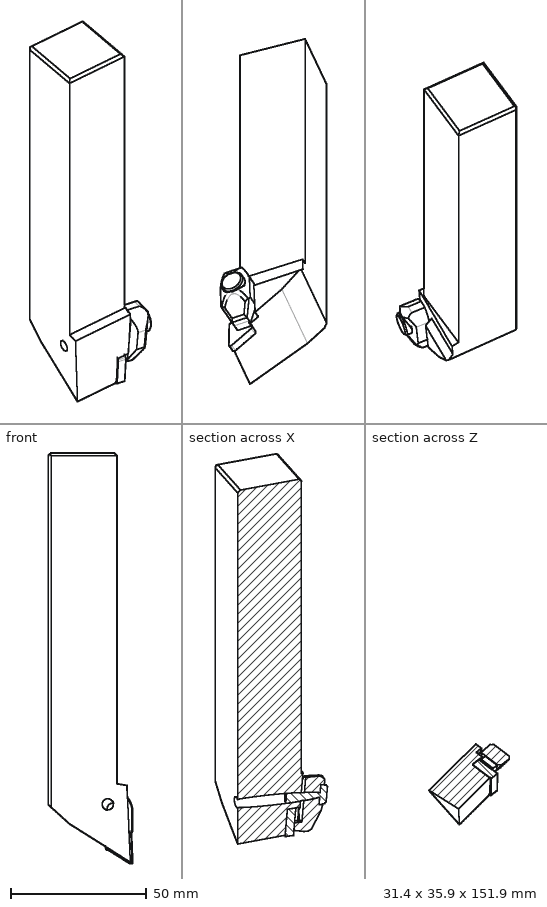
import cadquery as cq
import math

total_length = 151.9
shank_size = 25.5
edge_chamfer_x = 1.2
edge_chamfer_y = 1.0
end_chamfer = 1.0
shoulder_z = 29.6
right_shoulder_drop = 0.6
back_shoulder_drop = 1.7
head_width = 29.2
head_blank_depth = 33.4
tip_x = 30.4
tip_z = 0.6
bevel_x = 7.9
bevel_z = 14.7
bevel_start_z = 21.9

fall_x = 0.095
rise_z = 0.083
seat_x = 24.5
seat_y = 25.2
seat_z = 19.9
rib_height = 2.7
rib_foot = 4.3
clear = 60.8

insert_edge = 11.5
insert_angle = 55.0
insert_side_angle = 93.0
insert_thickness = 3.3
insert_top = -1.7
insert_bottom = insert_top - insert_thickness
insert_tip_u = 7.3
insert_tip_v = -20.8
insert_corner_radius = 0.8

clamp_left_u = -5.6
clamp_right_u = 6.2
clamp_gap = 1.0
clamp_top = 9.4
clamp_side_height = 6.4
clamp_belly_u = 3.8
clamp_overhang_height = 3.0
clamp_tail_v = 7.9
clamp_tail_start_v = -2.3
clamp_tail_left_u = -2.6
clamp_tail_right_u = 0.6
clamp_tail_height = 6.4
clamp_nose_v = -14.6
clamp_nose_height = 5.0
clamp_nose_bottom = 2.3
clamp_nose_chamfer = 0.9
clamp_toe_v = -13.7
clamp_nose_half_width = 3.0
clamp_foot_v = -10.3
clamp_foot_left_u = -2.3
clamp_shoulder_v = -7.3
clamp_flat_half_length = 4.5
clamp_back_middle = (6.8, 8.4)
clamp_tail_left_bend = (-4.9, 4.9)
clamp_tail_right_bend = (4.7, 4.5)
clamp_bay_left_u = -5.8

screw_diameter = 4.1
screw_head_diameter = 8.8
screw_head_bottom = 7.6
screw_head_top = 10.3
screw_head_chamfer = 0.6
screw_end = -6.1

seat_origin = cq.Vector(seat_x, seat_y, seat_z)
axis_w = cq.Vector(fall_x, 1, -rise_z).normalized()
axis_u = cq.Vector(1, -fall_x, 0).normalized()
axis_v = axis_u.cross(axis_w)


def facing_workplane(height):
    """Workplane parallel to the seat at a height above it; x = u, y = v, extrusion runs inward."""
    return cq.Workplane(cq.Plane(seat_origin + axis_w * height, axis_u, axis_w * -1))


def side_workplane():
    """Workplane through the screw axis; x = v, y = w."""
    return cq.Workplane(cq.Plane(seat_origin, axis_v, axis_u * -1))


def section_workplane():
    """Workplane across the clamp through the screw axis; x = u, y = w."""
    return cq.Workplane(cq.Plane(seat_origin, axis_u, axis_v))


def seat_prism(outline, bottom, top):
    """Prism on an outline of (u, v) points, between two heights above the seat."""
    return facing_workplane(top).polyline(outline).close().extrude(top - bottom)


def seat_disc(diameter, bottom, top):
    """Cylinder about the screw axis, between two heights above the seat."""
    return facing_workplane(top).circle(diameter / 2).extrude(top - bottom)


def rhombus(edge):
    """Rhombus of (u, v) points with the insert's tip and angles: tip, right, inner, left corner."""
    right_angle = math.radians(insert_side_angle)
    left_angle = math.radians(insert_side_angle + insert_angle)
    tip = cq.Vector(insert_tip_u, insert_tip_v)
    right_side = cq.Vector(math.cos(right_angle), math.sin(right_angle)) * edge
    left_side = cq.Vector(math.cos(left_angle), math.sin(left_angle)) * edge
    corners = [tip, tip + right_side, tip + right_side + left_side, tip + left_side]
    return [(corner.x, corner.y) for corner in corners]


def pocket_outline():
    """Insert pocket: the two inner sides of the insert, carried out past the head."""
    tip, right, inner, left = rhombus(insert_edge)
    outer_right = (2 * right[0] - inner[0], 2 * right[1] - inner[1])
    outer_left = (2 * left[0] - inner[0], 2 * left[1] - inner[1])
    beyond_tip = (2 * tip[0] - inner[0], 2 * tip[1] - inner[1])
    return [inner, outer_right, beyond_tip, outer_left]


def make_shank():
    height = total_length - shoulder_z
    shank = cq.Workplane("XY", origin=(0, 0, shoulder_z))
    shank = shank.box(shank_size, shank_size, height, centered=False)
    return shank.faces(">Z").chamfer(end_chamfer)


def make_head():
    """Head blank with the sloping shoulders at the right and at the back."""
    head = (
        cq.Workplane("XZ")
        .polyline(
            [
                (0, shoulder_z),
                (shank_size, shoulder_z),
                (head_width, shoulder_z - right_shoulder_drop),
                (tip_x, tip_z),
                (bevel_x, bevel_z),
                (0, bevel_start_z),
            ]
        )
        .close()
        .extrude(-head_blank_depth)
    )
    back_shoulder = (
        cq.Workplane("YZ")
        .polyline(
            [
                (shank_size, shoulder_z),
                (head_blank_depth, shoulder_z - back_shoulder_drop),
                (head_blank_depth, shoulder_z),
            ]
        )
        .close()
        .extrude(clear)
    )
    return head.cut(back_shoulder)


def make_back_cut():
    """Everything outside the tilted back of the head: flat seat, 45 degree slope, raised rib."""
    profile = [
        (clear, 0),
        (rib_foot, 0),
        (rib_foot - rib_height, rib_height),
        (-clear, rib_height),
        (-clear, clear),
        (clear, clear),
    ]
    return side_workplane().polyline(profile).close().extrude(clear, both=True)


def make_clamp_bay():
    """Cut through the rib, down to the seat, from the clamp to the right side of the head."""
    bay = [
        (clamp_bay_left_u, -clear),
        (clear, -clear),
        (clear, rib_foot),
        (clamp_bay_left_u, rib_foot),
    ]
    return seat_prism(bay, 0, clear)


def make_holder():
    head = make_head().cut(make_back_cut()).cut(make_clamp_bay())
    head = head.cut(seat_prism(pocket_outline(), insert_bottom, clear))
    holder = make_shank().union(head)

    bevel_outline = [(0, 0), (edge_chamfer_x, 0), (0, edge_chamfer_y)]
    edge_bevel = cq.Workplane("XY").polyline(bevel_outline).close().extrude(total_length)
    holder = holder.cut(edge_bevel)

    return holder.cut(seat_disc(screw_diameter, -clear, clamp_gap))


def make_insert():
    insert = seat_prism(rhombus(insert_edge), insert_bottom, insert_top)
    return insert.edges(cq.selectors.ParallelDirSelector(axis_w)).fillet(insert_corner_radius)


def clamp_side_blank():
    """Side shape of the clamp: foot on the insert, raised underside, sloping nose, rounded tail."""
    return (
        side_workplane()
        .moveTo(clamp_nose_v, clamp_nose_bottom)
        .lineTo(clamp_toe_v, insert_top)
        .lineTo(clamp_foot_v, insert_top)
        .lineTo(clamp_foot_v, clamp_gap)
        .lineTo(clamp_tail_v, clamp_gap)
        .lineTo(clamp_tail_v, clamp_tail_height)
        .threePointArc(clamp_back_middle, (clamp_flat_half_length, clamp_top))
        .lineTo(-clamp_flat_half_length, clamp_top)
        .lineTo(clamp_nose_v, clamp_nose_height)
        .close()
        .extrude(clear, both=True)
    )


def clamp_section_blank():
    """Cross-section of the clamp: straight sides, domed top, sloped lower right corner, narrow foot."""
    return (
        section_workplane()
        .moveTo(clamp_left_u, clamp_gap)
        .lineTo(clamp_foot_left_u, clamp_gap)
        .lineTo(clamp_foot_left_u, insert_top)
        .lineTo(clamp_belly_u, insert_top)
        .lineTo(clamp_belly_u, clamp_gap)
        .lineTo(clamp_right_u, clamp_overhang_height)
        .lineTo(clamp_right_u, clamp_side_height)
        .threePointArc((0, clamp_top), (clamp_left_u, clamp_side_height))
        .close()
        .extrude(clear, both=True)
    )


def clamp_plan_blank():
    """Plan of the clamp: narrow nose, full-width middle, rounded tail with a short flat end."""
    return (
        facing_workplane(clear)
        .moveTo(-clamp_nose_half_width, clamp_nose_v)
        .lineTo(clamp_nose_half_width, clamp_nose_v)
        .lineTo(clamp_right_u, clamp_shoulder_v)
        .lineTo(clamp_right_u, clamp_tail_start_v)
        .threePointArc(clamp_tail_right_bend, (clamp_tail_right_u, clamp_tail_v))
        .lineTo(clamp_tail_left_u, clamp_tail_v)
        .threePointArc(clamp_tail_left_bend, (clamp_left_u, clamp_tail_start_v))
        .lineTo(clamp_left_u, clamp_shoulder_v)
        .close()
        .extrude(2 * clear)
    )


def make_clamp():
    clamp = clamp_side_blank().intersect(clamp_section_blank()).intersect(clamp_plan_blank())
    nose_slope = (clamp_top - clamp_nose_height) / (-clamp_flat_half_length - clamp_nose_v)
    nose_normal = axis_w - axis_v * nose_slope
    clamp = clamp.faces(cq.selectors.DirectionMinMaxSelector(nose_normal)).chamfer(clamp_nose_chamfer)
    clamp = clamp.cut(seat_disc(screw_diameter, -clear, clear))
    return clamp.cut(seat_disc(screw_head_diameter, screw_head_bottom, clear))


def make_clamp_screw():
    head = seat_disc(screw_head_diameter, screw_head_bottom, screw_head_top)
    outer_face = cq.selectors.DirectionMinMaxSelector(axis_w)
    head = head.faces(outer_face).chamfer(screw_head_chamfer)
    return head.union(seat_disc(screw_diameter, screw_end, screw_head_bottom))


holder = make_holder()
insert = make_insert()
clamp = make_clamp()
clamp_screw = make_clamp_screw()

result = cq.Compound.makeCompound(
    [holder.val(), insert.val(), clamp.val(), clamp_screw.val()]
)